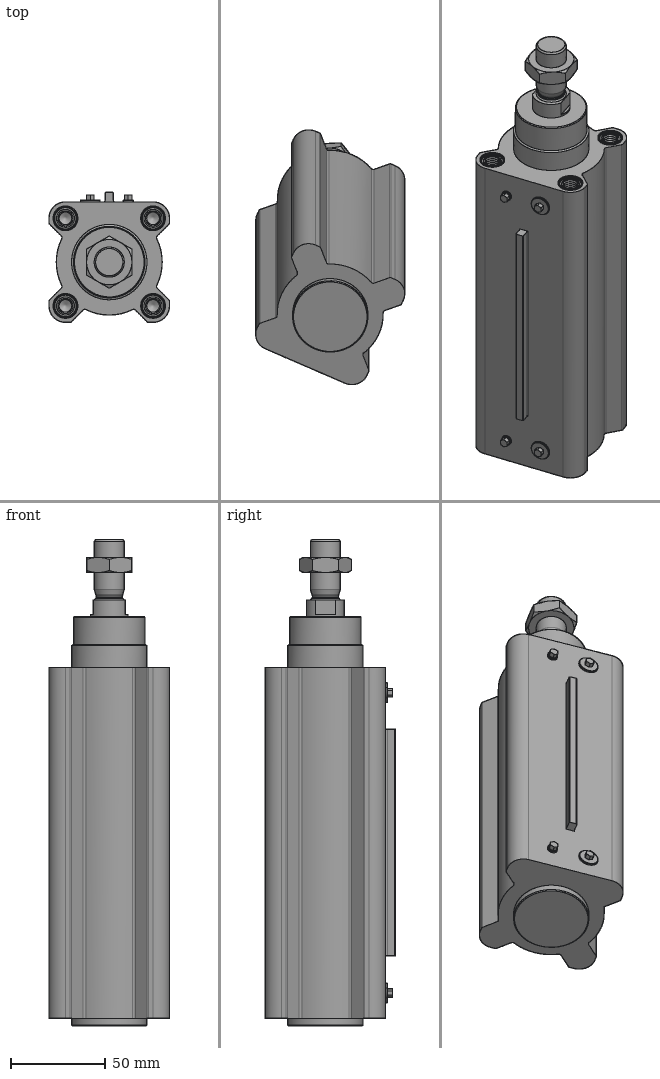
import cadquery as cq
import math

total_height = 257.8
rear_spigot_height = 4.0
body_length = 186.0
body_top = rear_spigot_height + body_length
collar_top = 217.0
collar_step = 202.0

body_width = 64.0
half_width = body_width / 2
boss_pitch = 46.5
boss_center = boss_pitch / 2
boss_radius = half_width - boss_center
barrel_radius = 28.0
boss_flank = 20.4
flank_fillet = 1.3
boss_corner_fillet = 1.0
position_tolerance = 0.003

collar_diameter = 40.0
collar_chamfer = 0.5
wiper_diameter = 38.0

recess_steps = [(13.1, 0.3), (12.0, 0.5), (11.3, 0.8), (9.5, 1.0)]
thread_root_diameter = 8.0
thread_crest_diameter = 6.7
thread_pitch = 1.3
thread_turns = 12
drill_angle = 118.0

rail_width = 4.5
rail_height = 5.2
rail_bottom = 37.0
rail_length = 120.1
rail_edge_chamfer = 0.5
rail_foot_width = 5.0
rail_foot_height = 1.0
screw_offset = 10.0
screw_end_distance = 13.5
large_base_diameter = 10.5
small_base_diameter = 5.5
screw_base_height = 1.0
screw_base_chamfer = 0.3
screw_head_across_corners = 4.6
screw_head_height = 3.5

rod_diameter = 20.0
rod_shoulder = 225.8
flat_bottom = 218.0
flat_across = 17.0
thread_diameter = 16.0
thread_bottom = 231.2
neck_diameter = 14.5
neck_top = 228.7
neck_bottom = 226.5
groove_diameter = 14.0
groove_top = 228.0
groove_bottom = 227.0
rod_end_diameter = 14.5
rod_end_chamfer = 1.0

nut_across_flats = 24.0
nut_height = 8.0
nut_bottom = 240.3
nut_chamfer_angle = 30.0


def turned(points):
    """Solid of revolution about Z from (radius, height) points that start and end on the axis."""
    return cq.Workplane("XZ").polyline(points).close().revolve(360, (0, 0, 0), (0, 1, 0))


def barrel():
    """Extruded profile: a round barrel with four corner bosses and a flat +Y face."""
    far = half_width
    arc_middle = boss_center + boss_radius * math.sqrt(0.5)

    flank_distance = (far - boss_flank) / math.sqrt(2)
    along_diagonal = math.sqrt(barrel_radius**2 - flank_distance**2)
    corner_near = (along_diagonal - flank_distance) / math.sqrt(2)
    corner_far = (along_diagonal + flank_distance) / math.sqrt(2)

    body = (
        cq.Workplane("XY", origin=(0, 0, rear_spigot_height))
        .moveTo(0, far)
        .lineTo(boss_center, far)
        .threePointArc((arc_middle, arc_middle), (far, boss_center))
        .lineTo(far, boss_flank)
        .lineTo(corner_far, corner_near)
        .threePointArc((barrel_radius, 0), (corner_far, -corner_near))
        .lineTo(far, -boss_flank)
        .lineTo(far, -boss_center)
        .threePointArc((arc_middle, -arc_middle), (boss_center, -far))
        .lineTo(boss_flank, -far)
        .lineTo(corner_near, -corner_far)
        .radiusArc((0, -barrel_radius), barrel_radius)
        .mirrorY()
        .extrude(body_length)
    )

    def is_flank_foot(edge):
        center = edge.Center()
        on_barrel = abs(math.hypot(center.x, center.y) - barrel_radius) < position_tolerance
        return on_barrel and abs(center.x) > corner_near / 2

    def is_boss_corner(edge):
        center = edge.Center()
        offsets = sorted([abs(center.x), abs(center.y)])
        return math.dist(offsets, [boss_flank, far]) < position_tolerance

    body = body.edges("|Z").filter(is_flank_foot).fillet(flank_fillet)
    return body.edges("|Z").filter(is_boss_corner).fillet(boss_corner_fillet)


def collar():
    """Front collar with a narrower wiper ring on top; both upper rims are bevelled."""
    radius = collar_diameter / 2
    wiper_radius = wiper_diameter / 2
    return turned(
        [
            (0, body_top),
            (radius, body_top),
            (radius, collar_step - collar_chamfer),
            (wiper_radius, collar_step),
            (wiper_radius, collar_top - collar_chamfer),
            (wiper_radius - collar_chamfer, collar_top),
            (0, collar_top),
        ]
    )


def rear_spigot():
    """Short centering spigot on the rear end, its lower rim chamfered."""
    return (
        cq.Workplane("XY")
        .circle(collar_diameter / 2)
        .extrude(rear_spigot_height)
        .faces("<Z")
        .chamfer(collar_chamfer)
    )


def fixing_hole():
    """Shallow stepped recess over a threaded hole with a conical end, its mouth at the origin."""
    points = [(0, 0)]
    depth = 0
    for diameter, floor in recess_steps:
        points += [(diameter / 2, -depth), (diameter / 2, -floor)]
        depth = floor
    root_radius = thread_root_diameter / 2
    crest_radius = thread_crest_diameter / 2
    for _ in range(thread_turns):
        points += [(root_radius, -depth), (crest_radius, -depth - thread_pitch / 2)]
        depth += thread_pitch
    cone_depth = crest_radius / math.tan(math.radians(drill_angle / 2))
    points += [(crest_radius, -depth), (0, -depth - cone_depth)]
    return turned(points)


def rail():
    """Straight rail with a flared foot and bevelled outer edges."""
    half = rail_width / 2
    half_foot = rail_foot_width / 2
    foot = half_width + rail_foot_height
    crown = half_width + rail_height
    return (
        cq.Workplane("XY", origin=(0, 0, rail_bottom))
        .moveTo(0, boss_center)
        .lineTo(half_foot, boss_center)
        .lineTo(half_foot, half_width)
        .lineTo(half, foot)
        .lineTo(half, crown - rail_edge_chamfer)
        .lineTo(half - rail_edge_chamfer, crown)
        .lineTo(0, crown)
        .mirrorY()
        .extrude(rail_length)
    )


def adjusting_screw(base_diameter):
    """Round base and hexagon head rising along +Y from the origin."""
    base = (
        cq.Workplane("XZ")
        .circle(base_diameter / 2)
        .extrude(-screw_base_height)
        .faces(">Y")
        .chamfer(screw_base_chamfer)
    )
    head = (
        cq.Workplane("XZ")
        .polygon(6, screw_head_across_corners)
        .extrude(-screw_head_height)
        .rotate((0, 0, 0), (0, 1, 0), 90)
    )
    return base.union(head)


def make_rod():
    """Piston rod with two wrench flats, a grooved neck and a threaded end."""
    rod = turned(
        [
            (0, body_top),
            (rod_diameter / 2, body_top),
            (rod_diameter / 2, rod_shoulder),
            (thread_diameter / 2, rod_shoulder),
            (neck_diameter / 2, neck_bottom),
            (groove_diameter / 2, groove_bottom),
            (groove_diameter / 2, groove_top),
            (neck_diameter / 2, neck_top),
            (thread_diameter / 2, thread_bottom),
            (thread_diameter / 2, total_height - rod_end_chamfer),
            (rod_end_diameter / 2, total_height),
            (0, total_height),
        ]
    )
    for side in (-1, 1):
        flat = (
            cq.Workplane("XY", origin=(side * (flat_across + rod_diameter) / 2, 0, flat_bottom))
            .rect(rod_diameter, rod_diameter)
            .extrude(rod_shoulder - flat_bottom)
        )
        rod = rod.cut(flat)
    return rod


def make_nut():
    """Hexagon nut with both ends chamfered, corners toward +Y and -Y."""
    corner_radius = nut_across_flats / math.sqrt(3)
    flat_radius = nut_across_flats / 2
    drop = (corner_radius - flat_radius) * math.tan(math.radians(nut_chamfer_angle))
    hexagon = (
        cq.Workplane("XY")
        .polygon(6, 2 * corner_radius)
        .extrude(nut_height)
        .rotate((0, 0, 0), (0, 0, 1), 90)
    )
    chamfers = turned(
        [
            (0, 0),
            (flat_radius, 0),
            (corner_radius, drop),
            (corner_radius, nut_height - drop),
            (flat_radius, nut_height),
            (0, nut_height),
        ]
    )
    hole = cq.Workplane("XY").circle(thread_diameter / 2).extrude(nut_height)
    return hexagon.intersect(chamfers).cut(hole).translate((0, 0, nut_bottom))


def make_housing():
    """Barrel, collar, spigot, rail and screws in one body, bored for the rod."""
    housing = barrel().union(collar()).union(rear_spigot()).union(rail())
    for x_side in (-1, 1):
        for y_side in (-1, 1):
            hole = fixing_hole().translate((x_side * boss_center, y_side * boss_center, body_top))
            housing = housing.cut(hole)
    front_screws = body_top - screw_end_distance
    rear_screws = rear_spigot_height + screw_end_distance
    for height in (front_screws, rear_screws):
        for x, diameter in ((-screw_offset, large_base_diameter), (screw_offset, small_base_diameter)):
            housing = housing.union(adjusting_screw(diameter).translate((x, half_width, height)))
    collar_height = collar_top - body_top
    bore = cq.Workplane("XY", origin=(0, 0, body_top)).circle(rod_diameter / 2).extrude(collar_height)
    return housing.cut(bore)


housing = make_housing()
rod = make_rod()
nut = make_nut()

result = cq.Compound.makeCompound([housing.val(), rod.val(), nut.val()])